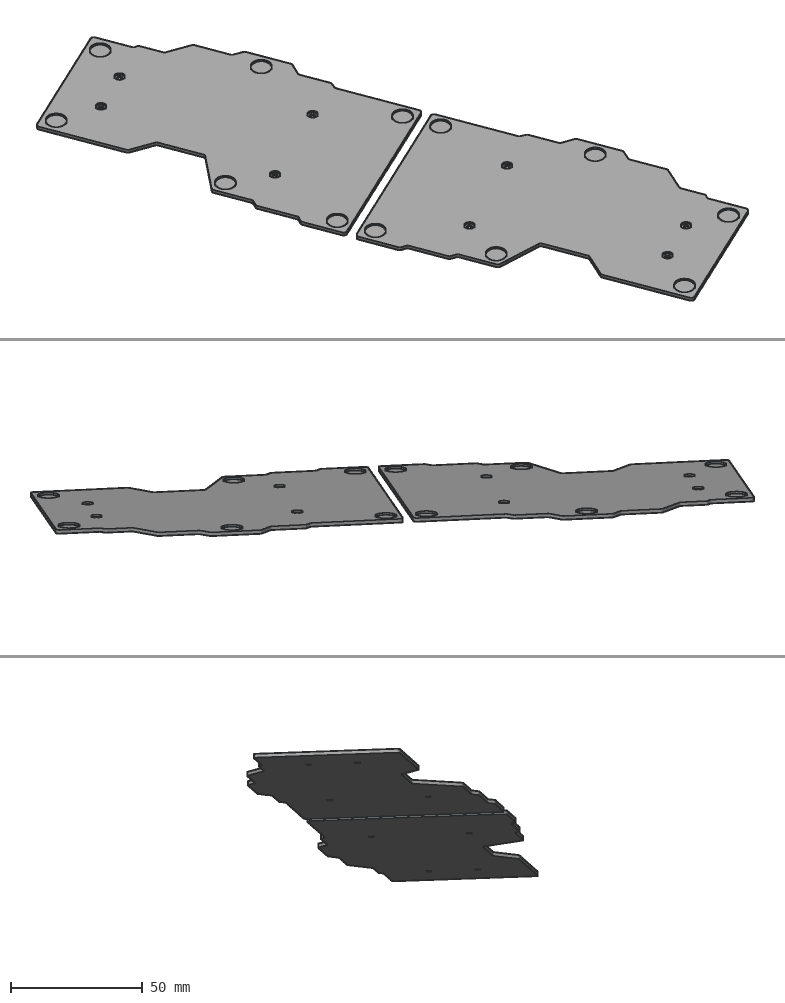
import cadquery as cq

half_length = 134.6
overall_width = 84.3
half_width = overall_width / 2
half_gap = 2.02
thickness = 1.5

bumper_diameter = 8.0
bumper_depth = 0.8
bumper_outer_x = 128.7
bumper_inner_x = 7.8
bumper_centers = [
    (-bumper_outer_x, 22.4),
    (-bumper_outer_x, -22.0),
    (-68.5, 36.4),
    (-55.5, -31.8),
    (-bumper_inner_x, 29.5),
    (-bumper_inner_x, -36.4),
]

screw_diameter = 2.0
head_diameter = 4.0
head_depth = 0.8
screw_outer_x = 116.0
screw_inner_x = 39.9
screw_centers = [
    (-screw_outer_x, 10.8),
    (-screw_outer_x, -8.0),
    (-screw_inner_x, 17.8),
    (-screw_inner_x, -20.2),
]

corner_radius = 1.3

outline = [
    (-half_length, 28.5),
    (-117.5, 28.5),
    (-116.3, 30.2),
    (-105.5, 30.2),
    (-97.2, 38.5),
    (-81.3, 38.5),
    (-77.5, half_width),
    (-58.2, half_width),
    (-53.5, 37.5),
    (-40.0, 37.5),
    (-37.7, 35.3),
    (-half_gap, 35.3),
    (-half_gap, -half_width),
    (-20.2, -half_width),
    (-22.4, -39.9),
    (-39.5, -39.9),
    (-42.0, -37.5),
    (-58.7, -37.5),
    (-68.7, -19.7),
    (-88.5, -19.7),
    (-97.0, -28.0),
    (-half_length, -28.0),
]


def make_left_plate():
    plate = cq.Workplane("XY").polyline(outline).close().extrude(thickness)
    plate = plate.edges("|Z").fillet(corner_radius)
    top = plate.faces(">Z").workplane(origin=(0, 0, thickness))
    plate = top.pushPoints(bumper_centers).hole(bumper_diameter, bumper_depth)
    top = plate.faces(">Z").workplane(origin=(0, 0, thickness))
    return top.pushPoints(screw_centers).cboreHole(screw_diameter, head_diameter, head_depth)


left_plate = make_left_plate()
right_plate = left_plate.mirror("YZ")

result = cq.Compound.makeCompound([left_plate.val(), right_plate.val()])